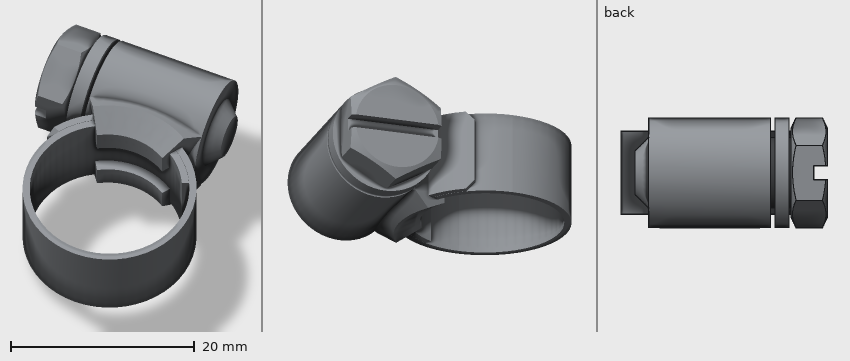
import cadquery as cq
import math

band_outer_r = 9.47
band_thickness = 0.78
layer_gap = 0.03
band_width = 9.05
outer_end_angle = 154
inner_end_angle = 27.4
tongue_chamfer = 1.0

housing_r = 6
housing_start = -6.85
housing_length = 13.3
screw_y = 29.97 - band_outer_r - housing_r

saddle_half_angle = 32.7
saddle_inner_r = 7.15
saddle_ridge_r = 10.0
saddle_outer_r = 12.3
saddle_outer_half_height = 4.53
saddle_window_height = 4.08

head_start = -13.07
head_length = 4.02
head_corner_r = housing_r
head_face_r = 4.8
head_bevel_length = 0.57
slot_width = 1.5
slot_depth = 1.5
washer_start = -8.87
washer_length = 1.55
washer_r = housing_r
shank_r = 3.87
tip_r = 2.37
tip_length = 1.5

layer_pitch = band_thickness + layer_gap
overlap_x = -layer_pitch / 2
outer_tongue_r = band_outer_r + layer_pitch / 2 - band_thickness
inner_tongue_r = outer_tongue_r - layer_pitch
housing_end = housing_start + housing_length
housing_mid = housing_start + housing_length / 2


def band_arc(center_x, inner_r, start_angle, end_angle):
    """Curved strip of band between two angles in degrees."""
    outer_r = inner_r + band_thickness
    middle_angle = (start_angle + end_angle) / 2

    def point(radius, angle):
        turn = math.radians(angle)
        return center_x + radius * math.cos(turn), radius * math.sin(turn)

    return (
        cq.Workplane("XY", origin=(0, 0, -band_width / 2))
        .moveTo(*point(inner_r, start_angle))
        .lineTo(*point(outer_r, start_angle))
        .threePointArc(point(outer_r, middle_angle), point(outer_r, end_angle))
        .lineTo(*point(inner_r, end_angle))
        .threePointArc(point(inner_r, middle_angle), point(inner_r, start_angle))
        .close()
        .extrude(band_width)
    )


def make_band():
    lower_half = band_arc(0, band_outer_r - band_thickness, 180, 360)
    inner_tongue = band_arc(overlap_x, inner_tongue_r, inner_end_angle, 180)
    outer_tongue = band_arc(overlap_x, outer_tongue_r, 0, outer_end_angle)
    end_middle_r = outer_tongue_r + band_thickness / 2
    end_turn = math.radians(outer_end_angle)
    end_point = (
        overlap_x + end_middle_r * math.cos(end_turn),
        end_middle_r * math.sin(end_turn),
        0,
    )
    end_plane = cq.Plane(
        origin=end_point,
        xDir=(-math.sin(end_turn), math.cos(end_turn), 0),
        normal=(math.cos(end_turn), math.sin(end_turn), 0),
    )
    top = band_width / 2
    for side in (-1, 1):
        corner = (
            cq.Workplane(end_plane)
            .polyline([
                (-tongue_chamfer, side * top),
                (0, side * (top - tongue_chamfer)),
                (tongue_chamfer, side * (top - tongue_chamfer)),
                (tongue_chamfer, side * (top + tongue_chamfer)),
                (-tongue_chamfer, side * (top + tongue_chamfer)),
            ])
            .close()
            .extrude(band_thickness, both=True)
        )
        outer_tongue = outer_tongue.cut(corner)
    return lower_half.union(inner_tongue).union(outer_tongue)


def x_cylinder(start, length, radius):
    return cq.Workplane("YZ", origin=(start, screw_y, 0)).circle(radius).extrude(length)


def make_saddle():
    """Ridged ring segment that joins the housing to the band."""
    inner_half_height = band_width / 2
    segment = (
        cq.Workplane("XZ")
        .polyline([
            (saddle_inner_r, -inner_half_height),
            (saddle_ridge_r, -housing_r),
            (saddle_outer_r, -saddle_outer_half_height),
            (saddle_outer_r, saddle_outer_half_height),
            (saddle_ridge_r, housing_r),
            (saddle_inner_r, inner_half_height),
        ])
        .close()
        .revolve(2 * saddle_half_angle, (0, 0, 0), (0, 1, 0))
    )
    return (
        segment
        .rotate((0, 0, 0), (0, 0, 1), 90 - saddle_half_angle)
        .translate((housing_mid, 0, 0))
    )


def make_clamp():
    housing = x_cylinder(housing_start, housing_length, housing_r)
    window = (
        cq.Workplane("XY", origin=(overlap_x, 0, -saddle_window_height / 2))
        .circle(inner_tongue_r)
        .extrude(saddle_window_height)
    )
    bore = x_cylinder(housing_start, housing_length, shank_r)
    return housing.union(make_saddle()).cut(window).union(make_band()).cut(bore)


def make_head():
    """Slotted hexagon head, bevelled at both ends."""
    blank = (
        cq.Workplane("YZ", origin=(head_start, screw_y, 0))
        .transformed(rotate=(0, 0, 90))
        .polygon(6, 2 * head_corner_r)
        .extrude(head_length)
    )
    bevel = x_cylinder(head_start, head_length, head_corner_r)
    bevel = bevel.faces("<X or >X").chamfer(head_bevel_length, head_corner_r - head_face_r)
    slot = cq.Workplane("XY").box(2 * slot_depth, 2 * head_corner_r, slot_width)
    return blank.intersect(bevel).cut(slot.translate((head_start, screw_y, 0)))


def make_screw():
    head_end = head_start + head_length
    shank = x_cylinder(head_end, housing_end - head_end, shank_r)
    washer = x_cylinder(washer_start, washer_length, washer_r)
    tip = (
        cq.Workplane("YZ", origin=(housing_end, screw_y, 0))
        .circle(shank_r)
        .workplane(offset=tip_length)
        .circle(tip_r)
        .loft()
    )
    return make_head().union(shank).union(washer).union(tip)


clamp = make_clamp()
screw = make_screw()
result = cq.Compound.makeCompound([*clamp.vals(), *screw.vals()])